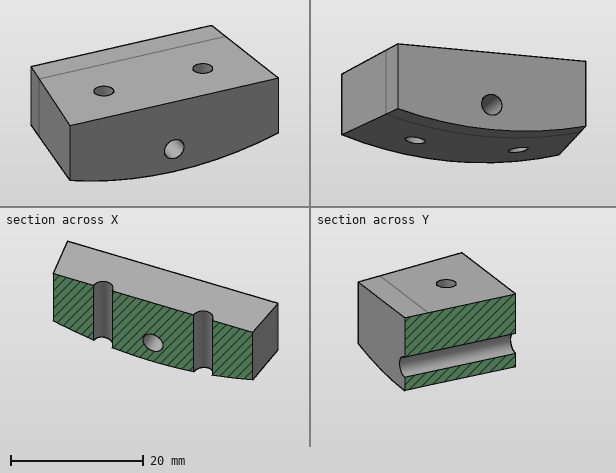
import cadquery as cq
import math

length = 19.0
wide_end_width = 34.77
height = 12.1
side_angle = 7.0
crown_radius = 60.0
seam_x = 4.0

vertical_hole_diameter = 3.0
vertical_hole_x = 11.5
vertical_hole_spacing = 16.5

cross_hole_diameter = 3.25
cross_hole_depth = 8.2


def half_width(x):
    """Half of the block width at a given distance from the narrow end."""
    return wide_end_width / 2 - (length - x) * math.tan(math.radians(side_angle))


def tapered_segment(x_start, x_end):
    """Full-height trapezoidal slice of the block, below the top face."""
    start_half = half_width(x_start)
    end_half = half_width(x_end)
    outline = [
        (x_start, -start_half),
        (x_end, -end_half),
        (x_end, end_half),
        (x_start, start_half),
    ]
    return cq.Workplane("XY").polyline(outline).close().extrude(-height)


def crown_envelope():
    """Prism along X whose underside is the crowned arc."""
    edge_y = wide_end_width / 2
    edge_rise = crown_radius - math.sqrt(crown_radius**2 - edge_y**2)
    edge_z = edge_rise - height
    return (
        cq.Workplane("YZ")
        .moveTo(-edge_y, 0)
        .lineTo(-edge_y, edge_z)
        .threePointArc((0, -height), (edge_y, edge_z))
        .lineTo(edge_y, 0)
        .close()
        .extrude(length)
    )


def vertical_holes():
    """Pair of vertical drills through the full height."""
    half_spacing = vertical_hole_spacing / 2
    return (
        cq.Workplane("XY")
        .pushPoints([(vertical_hole_x, -half_spacing), (vertical_hole_x, half_spacing)])
        .circle(vertical_hole_diameter / 2)
        .extrude(-height)
    )


def cross_hole():
    """Horizontal drill along X through the full length."""
    return (
        cq.Workplane("YZ")
        .center(0, -cross_hole_depth)
        .circle(cross_hole_diameter / 2)
        .extrude(length)
    )


crown = crown_envelope()
front_strip = tapered_segment(0, seam_x).intersect(crown)
main_body = tapered_segment(seam_x, length).intersect(crown)
block = front_strip.union(main_body, clean=False)
block = block.cut(vertical_holes(), clean=False)
result = block.cut(cross_hole(), clean=False)